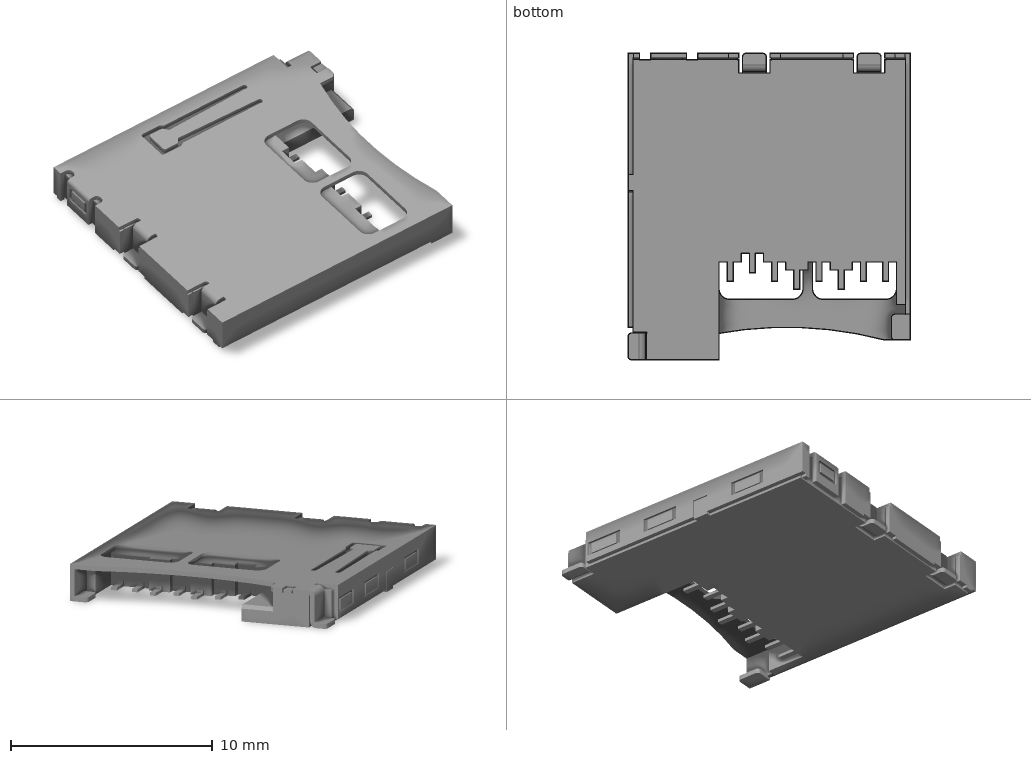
import cadquery as cq

WIDTH = 14.0
LENGTH = 15.2
HEIGHT = 1.88
SHEET = 0.25
ROOF_BOTTOM = HEIGHT - SHEET
SKIRT_LIFT = 0.14
BEND_RADIUS = 0.3
FOOT_BEND_RADIUS = 0.08
FOOT_CORNER_RADIUS = 0.18

CORNER_WALL_X = 0.62
EAR_RIGHT = 3.02
EAR_CHAMFER = 0.18
REAR_EDGE = 14.21
RECESS_RIGHT = 12.69
RECESS_BOTTOM = 13.59
SIDE_WALL_REAR = 13.59
CORNER_SLIT_REAR = 13.86
CORNER_SLIT_END = 1.14
CORNER_SLIT_RADIUS = 0.12

WINDOW_WIDTH = 4.15
WINDOW_FRONT = 9.41
WINDOW_REAR = 12.19
WINDOW_RADIUS = 0.52
WINDOW_LEFT_EDGES = (4.51, 9.15)

EAR_SLOT_CENTER = 2.07
EAR_SLOT_WIDTH = 0.56
EAR_SLOT_FRONT = 14.52
KEY_CLEARANCE = 0.06
EAR_KEY_GAP = 0.12
EAR_KEY_TOP = 1.81

SPRING_X = 1.63
SPRING_SLOT_TOP = 11.19
SPRING_SLOT_HALF = 0.78
SPRING_ROOT_HALF = 0.5
SPRING_NECK_HALF = 0.36
SPRING_NECK_Y = 6.2
SPRING_SHOULDER_Y = 5.99
SPRING_PAD_HALF = 0.65
SPRING_PAD_FRONT = 5.15
PAD_SLOT_HALF = 0.91
PAD_SLOT_FRONT = 4.85
SPRING_ROUND = 0.12
END_MARGIN = 0.15

LEG_CENTERS = (6.26, 11.95)
LEG_WIDTH = 1.19
LEG_FACE_Y = 0.67
LEG_POCKET_WIDTH = 1.54
LEG_POCKET_REAR = LEG_FACE_Y + BEND_RADIUS
ROOF_SLOT_WIDTH = 1.69
ROOF_SLOT_REAR = 1.19
ROOF_SLOT_RADIUS = 0.12
SKIRT_RELIEF_WIDTH = 2.58
CORNER_RELIEF = 0.27

PANEL_LEFT = 1.12
PANEL_RIGHT = 2.9
PANEL_NOTCH_WIDTH = 0.55
PANEL_NOTCH_REAR = 0.56
PANEL_NOTCH_RADIUS = 0.23
PANEL_BEND_RADIUS = 0.2

PAD_RECESS = 0.1
SIDE_LATCH_CENTERS = (3.48, 8.97, 12.48)
SIDE_WINDOW = (2.02, 0.47, 1.22)
SIDE_BOSS = (1.55, 0.53, 1.1)
PANEL_LATCH_CENTER = (PANEL_LEFT + PANEL_RIGHT) / 2
PANEL_WINDOW = (1.45, 0.65, 1.47)
PANEL_WINDOW_RADIUS = 0.18
PANEL_BOSS = (1.03, 0.84, 1.35)

SIDE_SLOT_FRONT = 6.0
SIDE_SLOT_REAR = 6.87
SIDE_SLOT_TOP = 1.1
RIGHT_FOOT_FRONT = 12.94
RIGHT_FOOT_TIP = 13.05

HOUSING_FRONT = 0.32
HOUSING_STEP = 13.83
CARD_EDGE = WINDOW_LEFT_EDGES[0]
LEDGE_TOP = 0.84
LEDGE_CHAMFER = 0.18
RAIL_LEFT = 13.3
RAIL_REAR = 12.46

CONTACT_WIDTH = 0.3
CONTACT_EDGE = 10.35
CONTACT_TAIL = 0.95
SHIFT_IN = -0.43
SHIFT_OUT = 0.4
CONTACT_SHIFTS = (0, SHIFT_IN, 0, SHIFT_OUT, 0, SHIFT_OUT, 0, 0)
CONTACT_ROW = 8.8
CONTACT_PITCH = CONTACT_ROW / len(CONTACT_SHIFTS)
FIRST_CONTACT = CARD_EDGE + CONTACT_PITCH / 2
CONTACT_THICKNESS = 0.15
CONTACT_KNEE = 0.12


def block(x0, x1, y0, y1, z0, z1):
    """Box between two opposite corners."""
    return cq.Workplane("XY").box(x1 - x0, y1 - y0, z1 - z0, centered=False).translate((x0, y0, z0))


def centered_slot(center_x, width, y0, y1, z0, z1):
    """Box of a given width, centered on an X position."""
    return block(center_x - width / 2, center_x + width / 2, y0, y1, z0, z1)


def bent_leg(width, face, foot_tip, roof_end):
    """Leg of sheet metal with a foot, bent down from the roof.

    The profile lies in local X (outward is negative) and Z; the width runs along +Y from 0.
    """
    inner_bend = BEND_RADIUS - SHEET
    outer_foot = FOOT_BEND_RADIUS + SHEET
    back = face + SHEET
    leg = (
        cq.Workplane("XZ")
        .moveTo(roof_end, HEIGHT)
        .lineTo(face + BEND_RADIUS, HEIGHT)
        .radiusArc((face, HEIGHT - BEND_RADIUS), -BEND_RADIUS)
        .lineTo(face, SHEET + FOOT_BEND_RADIUS)
        .radiusArc((face - FOOT_BEND_RADIUS, SHEET), FOOT_BEND_RADIUS)
        .lineTo(foot_tip, SHEET)
        .lineTo(foot_tip, 0)
        .lineTo(back - outer_foot, 0)
        .radiusArc((back, outer_foot), -outer_foot)
        .lineTo(back, ROOF_BOTTOM - inner_bend)
        .radiusArc((back + inner_bend, ROOF_BOTTOM), inner_bend)
        .lineTo(roof_end, ROOF_BOTTOM)
        .close()
        .extrude(-width)
    )
    return leg.edges("|Z").edges("<X").fillet(FOOT_CORNER_RADIUS)


def front_leg(center_x):
    """Bent leg in the front wall with its foot pointing to -Y."""
    leg = bent_leg(LEG_WIDTH, LEG_FACE_Y, 0, ROOF_SLOT_REAR)
    return leg.rotate((0, 0, 0), (0, 0, 1), 90).translate((center_x + LEG_WIDTH / 2, 0, 0))


def corner_leg():
    """Bent leg at the rear left corner with its foot pointing to -X."""
    leg = bent_leg(LENGTH - CORNER_SLIT_REAR, CORNER_WALL_X, 0, CORNER_SLIT_END)
    return leg.translate((0, CORNER_SLIT_REAR, 0))


def right_foot():
    """Solder foot bent inward from the lower edge of the right wall."""
    foot = block(RIGHT_FOOT_TIP, WIDTH - SHEET, RIGHT_FOOT_FRONT, REAR_EDGE, 0, SHEET)
    foot = foot.edges("|Z").edges("<X").fillet(FOOT_CORNER_RADIUS)
    return foot.union(block(WIDTH - SHEET, WIDTH, RIGHT_FOOT_FRONT, REAR_EDGE, 0, SKIRT_LIFT))


def front_latch(size, y0, y1):
    """Block through the front panel, used for its window and for the pad and boss in it."""
    width, bottom, top = size
    return centered_slot(PANEL_LATCH_CENTER, width, y0, y1, bottom, top)


def front_window(y0, y1):
    """Round-cornered block in the shape of the front panel window."""
    return front_latch(PANEL_WINDOW, y0, y1).edges("|Y").fillet(PANEL_WINDOW_RADIUS)


def side_latch(center_y, size, x0, x1):
    """Block through the left wall, used for a window and for the pad and boss in it."""
    width, bottom, top = size
    return block(x0, x1, center_y - width / 2, center_y + width / 2, bottom, top)


def roof():
    """Flat roof with the thumb recess and the rear left ear."""
    recess_middle = (EAR_RIGHT + RECESS_RIGHT) / 2
    return (
        cq.Workplane("XY", origin=(0, 0, ROOF_BOTTOM))
        .moveTo(0, 0)
        .lineTo(WIDTH, 0)
        .lineTo(WIDTH, REAR_EDGE)
        .lineTo(RECESS_RIGHT, REAR_EDGE)
        .threePointArc((recess_middle, RECESS_BOTTOM), (EAR_RIGHT, REAR_EDGE))
        .lineTo(EAR_RIGHT, LENGTH - EAR_CHAMFER)
        .lineTo(EAR_RIGHT - EAR_CHAMFER, LENGTH)
        .lineTo(CORNER_SLIT_END, LENGTH)
        .lineTo(CORNER_SLIT_END, SIDE_WALL_REAR)
        .lineTo(0, SIDE_WALL_REAR)
        .close()
        .extrude(SHEET)
    )


def slot_band(y0, y1):
    """Selector for the edges of the spring slot between two Y positions."""
    return cq.selectors.BoxSelector((0, y0 - END_MARGIN, 0), (WIDTH, y1 + END_MARGIN, HEIGHT))


def spring_slot():
    """Cutter for the U-shaped slot that frees the spring in the roof."""
    outline = [
        (SPRING_ROOT_HALF, SPRING_SLOT_TOP),
        (SPRING_SLOT_HALF, SPRING_SLOT_TOP),
        (SPRING_SLOT_HALF, SPRING_NECK_Y),
        (PAD_SLOT_HALF, SPRING_SHOULDER_Y),
        (PAD_SLOT_HALF, PAD_SLOT_FRONT),
        (-PAD_SLOT_HALF, PAD_SLOT_FRONT),
        (-PAD_SLOT_HALF, SPRING_SHOULDER_Y),
        (-SPRING_SLOT_HALF, SPRING_NECK_Y),
        (-SPRING_SLOT_HALF, SPRING_SLOT_TOP),
        (-SPRING_ROOT_HALF, SPRING_SLOT_TOP),
        (-SPRING_NECK_HALF, SPRING_NECK_Y),
        (-SPRING_PAD_HALF, SPRING_SHOULDER_Y),
        (-SPRING_PAD_HALF, SPRING_PAD_FRONT),
        (SPRING_PAD_HALF, SPRING_PAD_FRONT),
        (SPRING_PAD_HALF, SPRING_SHOULDER_Y),
        (SPRING_NECK_HALF, SPRING_NECK_Y),
    ]
    slot = (
        cq.Workplane("XY", origin=(SPRING_X, 0, ROOF_BOTTOM))
        .polyline(outline)
        .close()
        .extrude(SHEET)
    )
    slot = slot.edges("|Z").edges(slot_band(SPRING_SLOT_TOP, SPRING_SLOT_TOP)).fillet(SPRING_ROUND)
    return slot.edges("|Z").edges(slot_band(PAD_SLOT_FRONT, SPRING_PAD_FRONT)).fillet(SPRING_ROUND)


def window(left_edge):
    """Cutter for one rounded window in the roof."""
    cutter = block(left_edge, left_edge + WINDOW_WIDTH, WINDOW_FRONT, WINDOW_REAR, ROOF_BOTTOM, HEIGHT)
    return cutter.edges("|Z").fillet(WINDOW_RADIUS)


def panel_notch(left_edge):
    """Cutter for the full-height notch beside the sprung front panel."""
    notch = block(left_edge, left_edge + PANEL_NOTCH_WIDTH, 0, PANEL_NOTCH_REAR, 0, HEIGHT)
    return notch.edges("|Z").edges(">Y").fillet(PANEL_NOTCH_RADIUS)


def front_panel():
    """Sprung panel of the front wall with a rounded top bend."""
    panel = block(PANEL_LEFT, PANEL_RIGHT, 0, PANEL_NOTCH_REAR, SKIRT_LIFT, HEIGHT)
    panel = panel.cut(block(PANEL_LEFT, PANEL_RIGHT, SHEET, PANEL_NOTCH_REAR, 0, ROOF_BOTTOM))
    panel = panel.edges("|X").edges(">Z").edges("<Y").fillet(PANEL_BEND_RADIUS)
    return panel.cut(front_window(0, SHEET))


def make_shell():
    """Sheet metal shell: roof, three walls, bent legs and feet."""
    shell = roof()
    shell = shell.union(block(0, SHEET, 0, SIDE_WALL_REAR, SKIRT_LIFT, HEIGHT))
    shell = shell.union(block(WIDTH - SHEET, WIDTH, 0, REAR_EDGE, SKIRT_LIFT, HEIGHT))
    shell = shell.union(block(0, WIDTH, 0, SHEET, SKIRT_LIFT, HEIGHT))

    skirt = block(CORNER_RELIEF, WIDTH - CORNER_RELIEF, 0, SHEET, 0, SKIRT_LIFT)
    for center_x in LEG_CENTERS:
        skirt = skirt.cut(centered_slot(center_x, SKIRT_RELIEF_WIDTH, 0, SHEET, 0, SKIRT_LIFT))
    shell = shell.union(skirt)

    for center_x in LEG_CENTERS:
        roof_slot = centered_slot(center_x, ROOF_SLOT_WIDTH, 0, ROOF_SLOT_REAR, ROOF_BOTTOM, HEIGHT)
        roof_slot = roof_slot.edges("|Z").edges(">Y").fillet(ROOF_SLOT_RADIUS)
        shell = shell.cut(roof_slot)
        shell = shell.cut(centered_slot(center_x, LEG_POCKET_WIDTH, 0, SHEET, 0, HEIGHT))
        shell = shell.union(front_leg(center_x))

    shell = shell.cut(block(PANEL_LEFT, PANEL_RIGHT, 0, PANEL_NOTCH_REAR, 0, HEIGHT))
    shell = shell.union(front_panel())
    for left_edge in (PANEL_LEFT - PANEL_NOTCH_WIDTH, PANEL_RIGHT):
        shell = shell.cut(panel_notch(left_edge))

    shell = shell.union(corner_leg())
    slit = block(0, CORNER_SLIT_END, SIDE_WALL_REAR, CORNER_SLIT_REAR, 0, HEIGHT)
    shell = shell.cut(slit.edges("|Z").edges(">X").fillet(CORNER_SLIT_RADIUS))
    shell = shell.union(right_foot())

    shell = shell.cut(spring_slot())
    for left_edge in WINDOW_LEFT_EDGES:
        shell = shell.cut(window(left_edge))
    shell = shell.cut(
        centered_slot(EAR_SLOT_CENTER, EAR_SLOT_WIDTH, EAR_SLOT_FRONT, LENGTH, ROOF_BOTTOM, HEIGHT)
    )
    shell = shell.cut(block(0, SHEET, SIDE_SLOT_FRONT, SIDE_SLOT_REAR, 0, SIDE_SLOT_TOP))
    for center_y in SIDE_LATCH_CENTERS:
        shell = shell.cut(side_latch(center_y, SIDE_WINDOW, 0, SHEET))
    return shell


def contact_tail(center_x, edge):
    """Contact tail that leaves the housing edge at board level."""
    tail = centered_slot(center_x, CONTACT_WIDTH, edge, edge + CONTACT_TAIL, 0, CONTACT_THICKNESS)
    knee = centered_slot(
        center_x, CONTACT_WIDTH, edge, edge + CONTACT_KNEE, 0, CONTACT_THICKNESS + CONTACT_KNEE
    )
    return tail.union(knee)


def make_housing():
    """Insulating housing under the shell with its eight contacts."""
    housing_right = WIDTH - SHEET
    corner_left = CORNER_WALL_X + BEND_RADIUS
    ear_right = EAR_RIGHT - EAR_CHAMFER
    base_rear = CONTACT_EDGE + SHIFT_IN

    housing = block(SHEET, ear_right, HOUSING_FRONT, HOUSING_STEP, 0, ROOF_BOTTOM)
    housing = housing.union(block(corner_left, ear_right, HOUSING_FRONT, LENGTH, 0, ROOF_BOTTOM))

    ledge = block(ear_right, CARD_EDGE, HOUSING_FRONT, LENGTH, 0, LEDGE_TOP)
    housing = housing.union(ledge.edges(">Z and >Y").chamfer(LEDGE_CHAMFER))

    housing = housing.union(block(SHEET, housing_right, HOUSING_FRONT, base_rear, 0, ROOF_BOTTOM))
    housing = housing.union(block(RAIL_LEFT, housing_right, HOUSING_FRONT, RAIL_REAR, 0, ROOF_BOTTOM))
    for index, shift in enumerate(CONTACT_SHIFTS):
        center_x = FIRST_CONTACT + index * CONTACT_PITCH
        edge = CONTACT_EDGE + shift
        cell = centered_slot(center_x, CONTACT_PITCH, HOUSING_FRONT, edge, 0, ROOF_BOTTOM)
        housing = housing.union(cell).union(contact_tail(center_x, edge))

    for center_x in LEG_CENTERS:
        pocket = centered_slot(center_x, LEG_POCKET_WIDTH, HOUSING_FRONT, LEG_POCKET_REAR, 0, ROOF_BOTTOM)
        housing = housing.cut(pocket)

    housing = housing.union(front_window(PAD_RECESS, HOUSING_FRONT))
    housing = housing.union(front_latch(PANEL_BOSS, 0, HOUSING_FRONT))
    for center_y in SIDE_LATCH_CENTERS:
        housing = housing.union(side_latch(center_y, SIDE_WINDOW, PAD_RECESS, SHEET))
        housing = housing.union(side_latch(center_y, SIDE_BOSS, 0, SHEET))

    side_key_rear = SIDE_SLOT_REAR - KEY_CLEARANCE
    side_key_top = SIDE_SLOT_TOP - KEY_CLEARANCE
    housing = housing.union(block(0, SHEET, SIDE_SLOT_FRONT, side_key_rear, 0, side_key_top))
    ear_key_width = EAR_SLOT_WIDTH - 2 * KEY_CLEARANCE
    ear_key_front = EAR_SLOT_FRONT + EAR_KEY_GAP
    housing = housing.union(
        centered_slot(EAR_SLOT_CENTER, ear_key_width, ear_key_front, LENGTH, ROOF_BOTTOM, EAR_KEY_TOP)
    )
    return housing


shell = make_shell()
housing = make_housing()
result = cq.Compound.makeCompound([shell.val(), housing.val()])